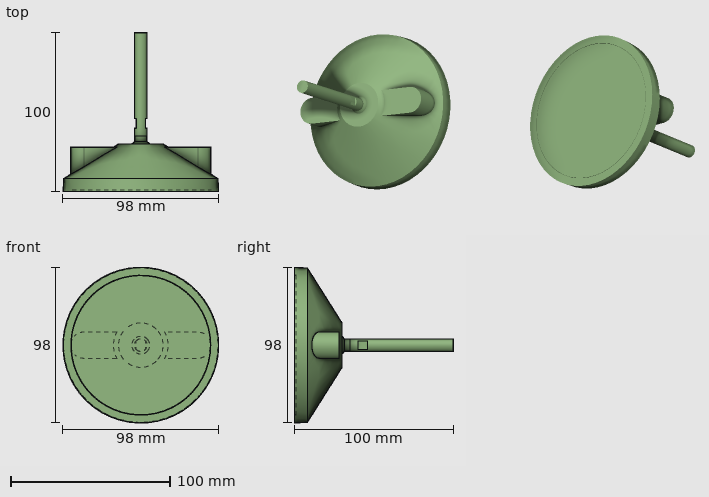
import cadquery as cq
import math

base_diameter = 98.0
rim_back_diameter = 97.1
rim_thickness = 8.2
cone_top_diameter = 28.0
body_depth = 30.0

groove_outer_diameter = 88.0
groove_inner_diameter = 87.5
groove_depth = 1.0

bar_length = 88.2
bar_width = 16.5
bar_back = 28.0

ball_diameter = 15.0
ball_centre = 25.0
neck_diameter = 7.8
neck_end = 35.0
rod_diameter = 8.0
overall_depth = 100.0

flat_start = 40.0
flat_length = 6.0
across_flats = 6.0

neck_start = ball_centre + math.sqrt(ball_diameter**2 - neck_diameter**2) / 2
ball_exit_radius = math.sqrt((ball_diameter / 2) ** 2 - (body_depth - ball_centre) ** 2)


def plane_at(y):
    """Sketch plane square to the part axis, with its normal toward +Y."""
    return cq.Plane(origin=(0, y, 0), xDir=(1, 0, 0), normal=(0, 1, 0))


def disc_and_stem():
    """Revolve the disc, cone, ball cap, neck and rod as one profile."""
    arc_depth = (body_depth + neck_start) / 2
    arc_radius = math.sqrt((ball_diameter / 2) ** 2 - (arc_depth - ball_centre) ** 2)
    profile = (
        cq.Workplane("XY")
        .moveTo(0, 0)
        .lineTo(base_diameter / 2, 0)
        .lineTo(rim_back_diameter / 2, rim_thickness)
        .lineTo(cone_top_diameter / 2, body_depth)
        .lineTo(ball_exit_radius, body_depth)
        .threePointArc((arc_radius, arc_depth), (neck_diameter / 2, neck_start))
        .lineTo(neck_diameter / 2, neck_end)
        .lineTo(rod_diameter / 2, neck_end)
        .lineTo(rod_diameter / 2, overall_depth)
        .lineTo(0, overall_depth)
        .close()
    )
    return profile.revolve(360, (0, 0, 0), (0, 1, 0))


def cross_bar():
    """Round-ended bar whose front end is buried in the cone."""
    bar_depth = bar_back - rim_thickness
    return cq.Workplane(plane_at(rim_thickness)).slot2D(bar_length, bar_width).extrude(bar_depth)


def ring_groove():
    """Thin ring to cut from the front face."""
    return (
        cq.Workplane(plane_at(0))
        .circle(groove_outer_diameter / 2)
        .circle(groove_inner_diameter / 2)
        .extrude(groove_depth)
    )


def wrench_flat(side):
    """Block to cut from the rod on one side: -1 for -X, +1 for +X."""
    flat_middle = flat_start + flat_length / 2
    block_centre = side * (across_flats + rod_diameter) / 2
    return cq.Workplane("XY").box(rod_diameter, flat_length, rod_diameter).translate(
        (block_centre, flat_middle, 0)
    )


result = disc_and_stem().union(cross_bar()).cut(ring_groove())
for side in (-1, 1):
    result = result.cut(wrench_flat(side))